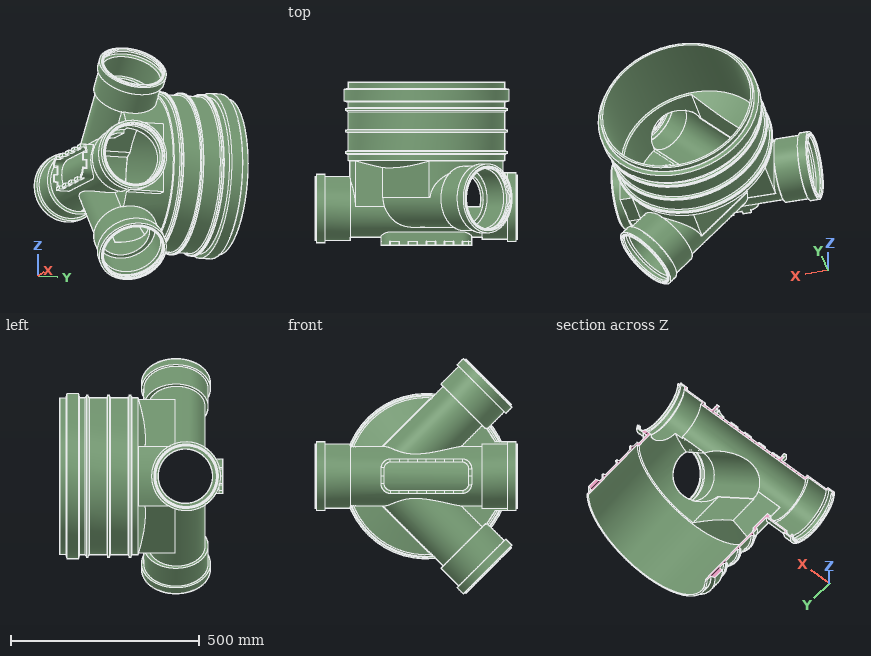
import cadquery as cq
import math


LOWER_DIAMETER = 407.0
BODY_DIAMETER = 416.0
SPIGOT_DIAMETER = 415.0
COLLAR_DIAMETER = 438.0
SHAFT_BORE_DIAMETER = 404.0
SHAFT_TOP = 332.5
BODY_BOTTOM = 125.0
COLLAR_BOTTOM = 280.0
COLLAR_TOP = 316.5
COLLAR_SLOPE_RISE = 3.0
WALL = 7.0

RIB_DIAMETER = 430.0
MIDDLE_RIB_LEVEL = 203.0
RIB_PITCH = 57.0
RIB_TIP_HALF = 2.5
RIB_FOOT_HALF = 5.5
MIDDLE_RIB_FOOT_HALF = 4.5

FLOOR_SLOPE = 0.28

MAIN_DIAMETER = 157.0
MAIN_BORE_DIAMETER = 143.0
MAIN_BLOCK_HALF = 79.0
MAIN_BLOCK_BOTTOM = 3.0
BRANCH_DIAMETER = 150.0
BRANCH_BORE_DIAMETER = BRANCH_DIAMETER - 2 * WALL
BRANCH_BLOCK_HALF = 76.5
BRANCH_ANGLE = 45
BRANCH_START_X = -85.0
BRANCH_PIPE_LEVEL = 23.0
BRANCH_PIPE_SHIFT = 2.0
BRANCH_BLOCK_BOTTOM = 27.5

SOCKET_DIAMETER = 171.0
SOCKET_RING_DIAMETER = 182.5
SOCKET_BORE_DIAMETER = 161.0
SEAL_GROOVE_DIAMETER = 174.0
MOUTH_DIAMETER = 166.0
SOCKET_LENGTH = 93.5
SOCKET_LIP = 4.0
SOCKET_RING_WIDTH = 23.0
MOUTH_CHAMFER_DEPTH = 2.5
SEAL_GROOVE_START = 7.5
SEAL_GROOVE_END = 20.0
SEAL_GROOVE_TAPER = 4.5
INLET_FACE_X = -294.5
INLET_LEVEL = -2.0
OUTLET_FACE_X = 241.0
OUTLET_LEVEL = 2.0
BRANCH_SOCKET_LEVEL = 25.0
HALF_HEIGHT = 311.5

SUMP_UNDERSIDE = 0.0
SUMP_FLOOR = 3.0
SLAB_INNER_X = 162.0

FOOT_LENGTH = 240.5
FOOT_WIDTH = 92.0
FOOT_BOTTOM = -99.0
FOOT_TOP = -50.0
FOOT_WALL = 8.0
FOOT_CORNER_RADIUS = 27.0
NOTCH_DEPTH = 10.0
NOTCH_WIDTH = 25.0
NOTCH_PITCH = 48.0
NOTCH_COUNT = 5
FIRST_NOTCH_X = -84.0
END_NOTCH_WIDTH = 23.0

BRANCH_SIN = math.sin(math.radians(BRANCH_ANGLE))
BRANCH_COS = math.cos(math.radians(BRANCH_ANGLE))
BRANCH_FACE = (HALF_HEIGHT - SOCKET_RING_DIAMETER / 2 * BRANCH_COS) / BRANCH_SIN + SOCKET_LIP


def turned(profile):
    """Solid of revolution about Y from (radius, level) points."""
    return cq.Workplane("XY").polyline(profile).close().revolve(360, (0, 0), (0, 1))


def disc(diameter, bottom, top):
    """Cylinder about Y between two levels."""
    return cq.Workplane("XZ", origin=(0, top, 0)).circle(diameter / 2).extrude(top - bottom)


def box(x_range, y_range, z_range):
    """Axis-aligned box between the given limits."""
    sizes = [high - low for low, high in (x_range, y_range, z_range)]
    corner = (x_range[0], y_range[0], z_range[0])
    return cq.Workplane("XY").box(*sizes, centered=False).translate(corner)


def rod(diameter, start_x, end_x, level=0.0, shift=0.0):
    """Cylinder along X."""
    plane = cq.Workplane("YZ", origin=(start_x, level, shift))
    return plane.circle(diameter / 2).extrude(end_x - start_x)


def tapered_rod(start_diameter, end_diameter, start_x, end_x, level):
    """Cone along X between two diameters."""
    return (
        cq.Workplane("YZ", origin=(start_x, level, 0))
        .circle(start_diameter / 2)
        .workplane(offset=end_x - start_x)
        .circle(end_diameter / 2)
        .loft()
    )


def socket_along_x(face_x, level):
    """Solid pipe socket opening towards +X, and the cavity inside it."""
    back_x = face_x - SOCKET_LENGTH
    ring_front = face_x - SOCKET_LIP
    body = rod(SOCKET_DIAMETER, back_x, face_x, level)
    body = body.union(rod(SOCKET_RING_DIAMETER, ring_front - SOCKET_RING_WIDTH, ring_front, level))
    cavity = rod(SOCKET_BORE_DIAMETER, back_x + WALL, face_x, level)
    groove_end_x = face_x - SEAL_GROOVE_END
    cavity = cavity.union(rod(SEAL_GROOVE_DIAMETER, groove_end_x, face_x - SEAL_GROOVE_START, level))
    groove_taper = tapered_rod(
        SOCKET_BORE_DIAMETER, SEAL_GROOVE_DIAMETER, groove_end_x - SEAL_GROOVE_TAPER, groove_end_x, level
    )
    mouth = tapered_rod(
        SOCKET_BORE_DIAMETER, MOUTH_DIAMETER, face_x - MOUTH_CHAMFER_DEPTH, face_x, level
    )
    return body, cavity.union(groove_taper).union(mouth)


def turned_round(shape):
    """Half turn about Y."""
    return shape.rotate((0, 0, 0), (0, 1, 0), 180)


def as_branches(shape):
    """Upper and lower branch copies of a shape that was built along +X."""
    upper = shape.rotate((0, 0, 0), (0, 1, 0), -BRANCH_ANGLE).translate((BRANCH_START_X, 0, 0))
    return [upper, upper.mirror("XY")]


def joined(solid, pieces):
    """Add pieces to a solid one after the other."""
    for piece in pieces:
        solid = solid.union(piece)
    return solid


def lower_chamber(inset, top):
    """Conical floor, channel blocks and sump: the outer form at inset 0, the cavity at inset WALL."""
    reach = LOWER_DIAMETER
    rim_radius = BODY_DIAMETER / 2 - inset
    rim_level = BODY_BOTTOM + inset
    cone = turned([
        (0, top),
        (rim_radius, top),
        (rim_radius, rim_level),
        (0, rim_level - FLOOR_SLOPE * rim_radius),
    ])
    main_half = MAIN_BLOCK_HALF - inset
    branch_half = BRANCH_BLOCK_HALF - inset
    main = box((-reach, reach), (MAIN_BLOCK_BOTTOM, top), (-main_half, main_half))
    branches = as_branches(box(
        (0, reach),
        (BRANCH_BLOCK_BOTTOM, top),
        (BRANCH_PIPE_SHIFT - branch_half, BRANCH_PIPE_SHIFT + branch_half),
    ))
    sump_bottom = SUMP_FLOOR if inset else SUMP_UNDERSIDE
    wedge = (
        cq.Workplane("XZ", origin=(0, top, 0))
        .polyline([
            (BRANCH_START_X, 0),
            (BRANCH_START_X + reach, reach),
            (BRANCH_START_X + reach, -reach),
        ])
        .close()
        .extrude(top - sump_bottom)
    )
    trim = disc(LOWER_DIAMETER - 2 * inset, sump_bottom - WALL, top)
    return cone.union(joined(main, [*branches, wedge]).intersect(trim))


def shaft():
    """Solid upper shaft with collar and ribs."""
    solid = disc(BODY_DIAMETER, BODY_BOTTOM, COLLAR_TOP)
    solid = solid.union(disc(SPIGOT_DIAMETER, COLLAR_BOTTOM, SHAFT_TOP))
    solid = solid.union(turned([
        (0, COLLAR_BOTTOM),
        (BODY_DIAMETER / 2, COLLAR_BOTTOM),
        (COLLAR_DIAMETER / 2, COLLAR_BOTTOM + COLLAR_SLOPE_RISE),
        (COLLAR_DIAMETER / 2, COLLAR_TOP - COLLAR_SLOPE_RISE),
        (SPIGOT_DIAMETER / 2, COLLAR_TOP),
        (0, COLLAR_TOP),
    ]))
    for step in (-1, 0, 1):
        level = MIDDLE_RIB_LEVEL + step * RIB_PITCH
        foot_half = RIB_FOOT_HALF if step else MIDDLE_RIB_FOOT_HALF
        solid = solid.union(turned([
            (0, level - foot_half),
            (BODY_DIAMETER / 2, level - foot_half),
            (RIB_DIAMETER / 2 - RIB_TIP_HALF, level - RIB_TIP_HALF),
            (RIB_DIAMETER / 2, level - RIB_TIP_HALF),
            (RIB_DIAMETER / 2, level + RIB_TIP_HALF),
            (RIB_DIAMETER / 2 - RIB_TIP_HALF, level + RIB_TIP_HALF),
            (BODY_DIAMETER / 2, level + foot_half),
            (0, level + foot_half),
        ]))
    return solid


def outlet_slab():
    """Slab that fills the corners between the outlet socket and the sump."""
    ring_back = OUTLET_FACE_X - SOCKET_LIP - SOCKET_RING_WIDTH
    half_width = SOCKET_RING_DIAMETER / 2
    return box(
        (SLAB_INNER_X, ring_back),
        (SUMP_UNDERSIDE, OUTLET_LEVEL + half_width),
        (-half_width, half_width),
    )


def foot():
    """Notched rectangular frame; the notches repeat after a half turn about Y."""
    def rounded_slab(inset):
        return (
            cq.Workplane("XZ", origin=(0, FOOT_TOP, 0))
            .rect(FOOT_LENGTH - 2 * inset, FOOT_WIDTH - 2 * inset)
            .extrude(FOOT_TOP - FOOT_BOTTOM)
            .edges("|Y")
            .fillet(FOOT_CORNER_RADIUS - inset)
        )

    frame = rounded_slab(0).cut(rounded_slab(FOOT_WALL))
    notch_levels = (FOOT_BOTTOM, FOOT_BOTTOM + NOTCH_DEPTH)
    side_start = FOOT_WIDTH / 2 - FOOT_CORNER_RADIUS
    notches = box((-FOOT_LENGTH / 2, FOOT_WALL - FOOT_LENGTH / 2), notch_levels, (0, END_NOTCH_WIDTH))
    for index in range(NOTCH_COUNT):
        middle = FIRST_NOTCH_X + index * NOTCH_PITCH
        limits = (middle - NOTCH_WIDTH / 2, middle + NOTCH_WIDTH / 2)
        notches = notches.union(box(limits, notch_levels, (side_start, FOOT_WIDTH / 2)))
    return frame.cut(notches).cut(turned_round(notches))


outlet_body, outlet_cavity = socket_along_x(OUTLET_FACE_X, OUTLET_LEVEL)
inlet_body, inlet_cavity = [turned_round(s) for s in socket_along_x(-INLET_FACE_X, INLET_LEVEL)]
branch_bodies, branch_cavities = [
    as_branches(s) for s in socket_along_x(BRANCH_FACE, BRANCH_SOCKET_LEVEL)
]

inlet_back = INLET_FACE_X + SOCKET_LENGTH
outlet_back = OUTLET_FACE_X - SOCKET_LENGTH
branch_back = BRANCH_FACE - SOCKET_LENGTH
main_pipe = rod(MAIN_DIAMETER, inlet_back, outlet_back)
main_bore = rod(MAIN_BORE_DIAMETER, inlet_back - WALL, outlet_back + WALL)
branch_pipes = as_branches(
    rod(BRANCH_DIAMETER, 0, branch_back, BRANCH_PIPE_LEVEL, BRANCH_PIPE_SHIFT)
)
branch_bores = as_branches(
    rod(BRANCH_BORE_DIAMETER, 0, branch_back + WALL, BRANCH_PIPE_LEVEL, BRANCH_PIPE_SHIFT)
)

outer = joined(shaft(), [
    lower_chamber(0, BODY_BOTTOM + 2 * WALL),
    main_pipe,
    *branch_pipes,
    outlet_slab(),
    outlet_body,
    inlet_body,
    *branch_bodies,
    foot(),
])

result = outer
for cavity in (
    disc(SHAFT_BORE_DIAMETER, BODY_BOTTOM + WALL, SHAFT_TOP),
    lower_chamber(WALL, BODY_BOTTOM + 3 * WALL),
    main_bore,
    *branch_bores,
    outlet_cavity,
    inlet_cavity,
    *branch_cavities,
):
    result = result.cut(cavity)